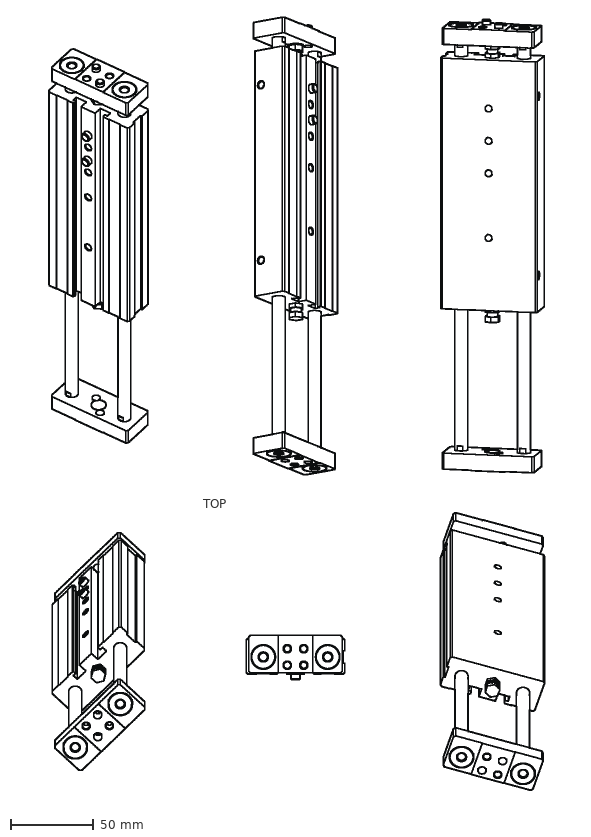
import cadquery as cq
import math


HOUSING_WIDTH = 60.0
HOUSING_DEPTH = 21.8
HOUSING_LENGTH = 155.0
FRONT_Y = -10.5
HOUSING_CHAMFER = 1.0
FACE_STEP = 0.3
FACE_STEP_INNER = 15.5
FACE_STEP_OUTER = 23.7
SLOT_INNER = 5.2
SLOT_OUTER = 10.7
SLOT_DEPTH = 5.5
SLOT_LIP = 2.2
SLOT_LIP_CHAMFER = 0.5
UNDERCUT_OUTER = 12.7
SIDE_GROOVE_WIDTH = 7.5
SIDE_GROOVE_DEPTH = 1.0

LAST_HOLE_DROP = 110.0
LAST_HOLE_PITCHES = 11
HOLE_PITCH = LAST_HOLE_DROP / LAST_HOLE_PITCHES
PLUGGED_PITCHES = [2, 4]
THROUGH_PITCHES = [3, 5, 7, LAST_HOLE_PITCHES]

THREAD_DIAMETER = 5.0
CORE_DIAMETER = 4.0
COUNTERSINK_DEPTH = (THREAD_DIAMETER - CORE_DIAMETER) / 2

PORT_DEPTH = 5.5
PORT_INSET = 22.0
PORT_Y = 6.0

PLATE_WIDTH = 57.0
PLATE_DEPTH = 23.0
PLATE_THICKNESS = 10.0
PLATE_CHAMFER = 1.0
PLATE_BACK_Y = 13.2
PAD_WIDTH = 21.0
PAD_HEIGHT = 0.3
UPPER_GAP = 8.8
LOWER_GAP = 88.7
MOUNT_OFFSET = HOLE_PITCH / 2
MOUNT_DEPTH = 7.0
CONTACT_DIAMETER = 9.0
CONTACT_DEPTH = 0.3

ROD_SPACING = 39.0
ROD_DIAMETER = 8.0
HEAD_DIAMETER = 14.0
COUNTERBORE_DIAMETER = 15.0
HEAD_HEIGHT = 5.0
HEAD_RECESS_DIAMETER = 6.0
HEAD_RECESS_FLOOR = 5.0
HEAD_RECESS_DEPTH = 0.5
FLAT_DISTANCE = 7.2
FLAT_LENGTH = 3.0

STOP_Y = 0.5
STEM_DIAMETER = 6.5
STEM_INSERTION = 11.0
HEX_ACROSS_FLATS = 8.0
INNER_HEX_HEIGHT = 2.5
NECK_HEIGHT = 2.8
OUTER_HEX_HEIGHT = 3.3

FRONT_PLUG_DIAMETER = 5.5
FRONT_PLUG_LENGTH = 8.3
FRONT_PLUG_PROJECTION = 3.3
PLATE_PLUG_DIAMETER = THREAD_DIAMETER
PLATE_PLUG_PROJECTION = 3.0
PLUG_CHAMFER = 0.5

HOUSING_Y = FRONT_Y + HOUSING_DEPTH / 2
PLATE_Y = PLATE_BACK_Y - PLATE_DEPTH / 2
UPPER_PLATE_Z = HOUSING_LENGTH + UPPER_GAP
UPPER_FACE_Z = UPPER_PLATE_Z + PLATE_THICKNESS
LOWER_FACE_Z = -LOWER_GAP - PLATE_THICKNESS
ROD_XS = [-ROD_SPACING / 2, ROD_SPACING / 2]
THROUGH_POINTS = [(-MOUNT_OFFSET, MOUNT_OFFSET), (MOUNT_OFFSET, -MOUNT_OFFSET)]
BLIND_POINTS = [(-MOUNT_OFFSET, -MOUNT_OFFSET), (MOUNT_OFFSET, MOUNT_OFFSET)]
UP = (0, 0, 1)
DOWN = (0, 0, -1)
BACKWARD = (0, 1, 0)
RIGHTWARD = (1, 0, 0)


def cylinder(diameter, length, base, direction=UP):
    solid = cq.Solid.makeCylinder(diameter / 2, length, cq.Vector(*base), cq.Vector(*direction))
    return cq.Workplane(obj=solid)


def cone(base_diameter, end_diameter, length, base, direction=UP):
    solid = cq.Solid.makeCone(
        base_diameter / 2, end_diameter / 2, length, cq.Vector(*base), cq.Vector(*direction)
    )
    return cq.Workplane(obj=solid)


def threaded_hole(depth, mouth, direction):
    """Flat-bottomed hole with a countersunk mouth, to be cut from a body."""
    bore = cylinder(CORE_DIAMETER, depth, mouth, direction)
    return bore.union(cone(THREAD_DIAMETER, CORE_DIAMETER, COUNTERSINK_DEPTH, mouth, direction))


def upright_block(width, depth, height, x=0, y=0, z=0):
    """Block centered on (x, y) that stands on z."""
    return cq.Workplane().box(width, depth, height, centered=(True, True, False)).translate((x, y, z))


def hole_z(pitches):
    return HOUSING_LENGTH - pitches * HOLE_PITCH



def make_stop():
    """Stop pointing up, seated on z = 0 with its stem reaching below."""
    outer_hex_z = INNER_HEX_HEIGHT + NECK_HEIGHT
    stop = cylinder(STEM_DIAMETER, STEM_INSERTION + outer_hex_z, (0, 0, -STEM_INSERTION))
    across_corners = HEX_ACROSS_FLATS / math.cos(math.pi / 6)
    for z, height in ((0, INNER_HEX_HEIGHT), (outer_hex_z, OUTER_HEX_HEIGHT)):
        hexagon = cq.Workplane().polygon(6, across_corners).extrude(height)
        stop = stop.union(hexagon.rotate((0, 0, 0), UP, 30).translate((0, 0, z)))
    return stop.translate((0, STOP_Y, 0))



def make_plug(diameter, length):
    """Plug along Z with its chamfered outer end on z = 0 and its body below."""
    return cylinder(diameter, length, (0, 0, -length)).faces(">Z").chamfer(PLUG_CHAMFER)


def make_front_plug(pitches):
    plug = make_plug(FRONT_PLUG_DIAMETER, FRONT_PLUG_LENGTH).rotate((0, 0, 0), RIGHTWARD, 90)
    return plug.translate((0, FRONT_Y - FRONT_PLUG_PROJECTION, hole_z(pitches)))


def make_plate_plug(x, y):
    plug = make_plug(PLATE_PLUG_DIAMETER, PLATE_PLUG_PROJECTION + PLATE_THICKNESS)
    return plug.translate((x, y, UPPER_FACE_Z + PLATE_PLUG_PROJECTION))



def front_strip(side, inner, outer, start_depth, end_depth):
    """Full-length cutter along the front face; side is -1 or 1."""
    center_y = FRONT_Y + (start_depth + end_depth) / 2
    return upright_block(
        outer - inner, end_depth - start_depth, HOUSING_LENGTH, side * (inner + outer) / 2, center_y
    )


def front_slot(side):
    """T-slot with a chamfered outer lip; side is -1 or 1."""
    mouth = front_strip(side, SLOT_INNER, SLOT_OUTER, 0, SLOT_DEPTH)
    undercut = front_strip(side, SLOT_INNER, UNDERCUT_OUTER, SLOT_LIP, SLOT_DEPTH)
    lip_chamfer = (
        cq.Workplane()
        .moveTo(side * SLOT_OUTER, FRONT_Y)
        .lineTo(side * (SLOT_OUTER + SLOT_LIP_CHAMFER), FRONT_Y)
        .lineTo(side * SLOT_OUTER, FRONT_Y + SLOT_LIP_CHAMFER)
        .close()
        .extrude(HOUSING_LENGTH)
    )
    return mouth.union(undercut).union(lip_chamfer)


def side_port(z):
    """Countersunk port with a conical bottom in the -X side."""
    mouth_x = -HOUSING_WIDTH / 2
    port = threaded_hole(PORT_DEPTH, (mouth_x, PORT_Y, z), RIGHTWARD)
    tip_height = CORE_DIAMETER / 2 / math.sqrt(3)
    return port.union(cone(CORE_DIAMETER, 0, tip_height, (mouth_x + PORT_DEPTH, PORT_Y, z), RIGHTWARD))


def make_housing(front_plugs, upper_stop):
    housing = upright_block(HOUSING_WIDTH, HOUSING_DEPTH, HOUSING_LENGTH, y=HOUSING_Y)
    housing = housing.edges("|Z").chamfer(HOUSING_CHAMFER)
    for side in (-1, 1):
        housing = housing.cut(front_slot(side))
        housing = housing.cut(front_strip(side, FACE_STEP_INNER, FACE_STEP_OUTER, 0, FACE_STEP))
    side_groove_x = (HOUSING_WIDTH - SIDE_GROOVE_DEPTH) / 2
    housing = housing.cut(upright_block(SIDE_GROOVE_DEPTH, SIDE_GROOVE_WIDTH, HOUSING_LENGTH, side_groove_x))
    for x in ROD_XS:
        housing = housing.cut(cylinder(ROD_DIAMETER, HOUSING_LENGTH, (x, 0, 0)))
    for z in (PORT_INSET, HOUSING_LENGTH - PORT_INSET):
        housing = housing.cut(side_port(z))
    for pitches in THROUGH_PITCHES:
        housing = housing.cut(threaded_hole(HOUSING_DEPTH, (0, FRONT_Y, hole_z(pitches)), BACKWARD))
    for inserted in (*front_plugs, upper_stop):
        housing = housing.cut(inserted)
    return housing.union(make_stop().mirror("XY"))



def make_plate():
    """End plate with its inner face on z = 0 and its raised pad on top."""
    plate = upright_block(PLATE_WIDTH, PLATE_DEPTH, PLATE_THICKNESS, y=PLATE_Y)
    plate = plate.edges("|Z").chamfer(PLATE_CHAMFER)
    pad_top = PLATE_THICKNESS + PAD_HEIGHT
    plate = plate.union(upright_block(PAD_WIDTH, PLATE_DEPTH, pad_top, y=PLATE_Y))
    for x in ROD_XS:
        plate = plate.cut(cylinder(ROD_DIAMETER, PLATE_THICKNESS, (x, 0, 0)))
        plate = plate.cut(cylinder(COUNTERBORE_DIAMETER, HEAD_HEIGHT, (x, 0, PLATE_THICKNESS), DOWN))
    for x, y in THROUGH_POINTS:
        plate = plate.cut(cylinder(PLATE_PLUG_DIAMETER, pad_top, (x, y, 0)))
    for x, y in BLIND_POINTS:
        plate = plate.cut(threaded_hole(MOUNT_DEPTH, (x, y, pad_top), DOWN))
    return plate.cut(cylinder(CONTACT_DIAMETER, CONTACT_DEPTH, (0, STOP_Y, 0)))



def make_rod(x):
    """Rod with a flush head in each end plate and wrench flats beside each plate."""
    rod = cylinder(ROD_DIAMETER, UPPER_FACE_Z - LOWER_FACE_Z, (x, 0, LOWER_FACE_Z))
    flat_depth = (ROD_DIAMETER - FLAT_DISTANCE) / 2
    flat_y = (ROD_DIAMETER + FLAT_DISTANCE) / 4
    for z in (-LOWER_GAP, UPPER_PLATE_Z - FLAT_LENGTH):
        for y in (-flat_y, flat_y):
            rod = rod.cut(upright_block(ROD_DIAMETER, flat_depth, FLAT_LENGTH, x, y, z))
    for face_z, inward in ((LOWER_FACE_Z, UP), (UPPER_FACE_Z, DOWN)):
        end = (x, 0, face_z)
        rod = rod.union(cylinder(HEAD_DIAMETER, HEAD_HEIGHT, end, inward))
        rod = rod.cut(cone(HEAD_RECESS_DIAMETER, HEAD_RECESS_FLOOR, HEAD_RECESS_DEPTH, end, inward))
    return rod



front_plugs = [make_front_plug(pitches) for pitches in PLUGGED_PITCHES]
plate_plugs = [make_plate_plug(x, y) for x, y in THROUGH_POINTS]
upper_stop = make_stop().translate((0, 0, HOUSING_LENGTH))
housing = make_housing(front_plugs, upper_stop)
upper_plate = make_plate().translate((0, 0, UPPER_PLATE_Z))
lower_plate = make_plate().mirror("XY").translate((0, 0, -LOWER_GAP))
rods = [make_rod(x) for x in ROD_XS]

bodies = [housing, upper_stop, upper_plate, lower_plate, *rods, *front_plugs, *plate_plugs]
result = cq.Compound.makeCompound([body.val() for body in bodies])